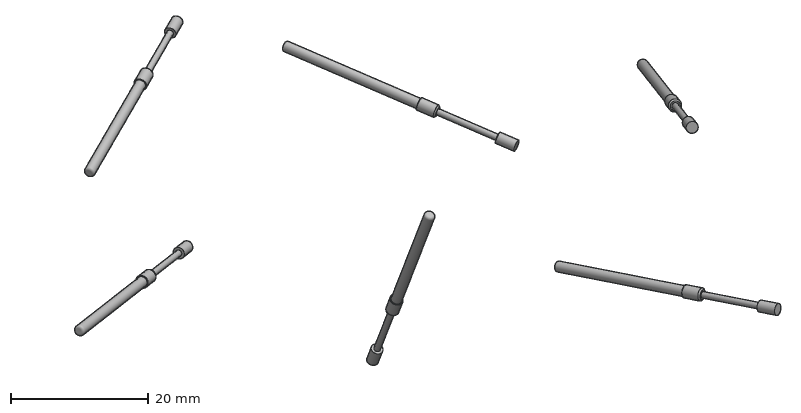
import cadquery as cq

barrel_length = 22.0
collar_length = 3.0
stem_length = 9.8
head_length = 3.0

barrel_diameter = 1.65
collar_diameter = 2.0
stem_diameter = 1.0
head_diameter = 1.8

collar_chamfer = 0.25
barrel_end_fillet = 0.4


def rod(start_y, length, diameter):
    """Round section running from start_y towards +Y."""
    plane = cq.Plane(origin=(0, start_y, 0), xDir=(1, 0, 0), normal=(0, 1, 0))
    return cq.Workplane(plane).circle(diameter / 2).extrude(length)


def make_barrel():
    """Long barrel below the collar, with a rounded tail."""
    barrel = rod(-barrel_length, barrel_length, barrel_diameter)
    return barrel.faces("<Y").edges().fillet(barrel_end_fillet)


def make_collar():
    """Stop collar, chamfered on the plunger side."""
    collar = rod(0, collar_length, collar_diameter)
    return collar.faces(">Y").edges().chamfer(collar_chamfer)


def make_plunger():
    """Slim stem carrying the flat contact head."""
    stem = rod(collar_length, stem_length, stem_diameter)
    head = rod(collar_length + stem_length, head_length, head_diameter)
    return stem.union(head)


result = make_barrel().union(make_collar()).union(make_plunger())